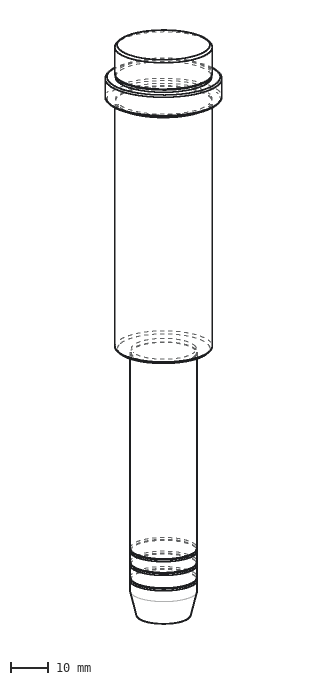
import cadquery as cq

total_length = 160.0
body_radius = 13.0
flange_radius = 15.5
shank_radius = 9.0
tip_radius = 7.2

body_bottom = 74.9
flange_bottom = 145.0
flange_top = 151.0
taper_height = 7.0

edge_chamfer = 0.6
flange_chamfer = 0.5
tip_fillet = 0.5

flange_relief_length = 1.0
flange_relief_depth = 0.2
flange_relief_run_out = 0.3
shank_relief_length = 1.1
shank_relief_depth = 0.3
groove_width = 0.8
groove_depth = 0.3
groove_centers = (10.4, 14.7, 18.5)


def cylinder(radius, bottom, top):
    return cq.Workplane("XY").workplane(offset=bottom).circle(radius).extrude(top - bottom)


def revolved(points):
    """Solid of revolution about Z from (radius, height) points."""
    return cq.Workplane("XZ").polyline(points).close().revolve(360, (0, 0), (0, 1))


def lubrication_groove(center):
    """V-shaped ring that cuts a groove into the shank."""
    half_width = groove_width / 2
    return revolved(
        [
            (shank_radius, center - half_width),
            (shank_radius - groove_depth, center),
            (shank_radius, center + half_width),
        ]
    )


def flange_relief(face_height, direction):
    """Ring cut into the body beside a flange face; direction is +1 above the flange, -1 below it."""
    floor_radius = body_radius - flange_relief_depth
    profile = [
        (body_radius, flange_relief_length),
        (floor_radius, flange_relief_length - flange_relief_run_out),
        (floor_radius, 0),
        (body_radius, 0),
    ]
    return revolved([(radius, face_height + direction * height) for radius, height in profile])


tip = (
    cq.Workplane("XY")
    .circle(tip_radius)
    .workplane(offset=taper_height)
    .circle(shank_radius)
    .loft(ruled=True)
    .faces("<Z")
    .edges()
    .fillet(tip_fillet)
)
shank = tip.union(cylinder(shank_radius, taper_height, body_bottom))

for center in groove_centers:
    shank = shank.cut(lubrication_groove(center))

relief_bottom = body_bottom - shank_relief_length
relief_ring = cylinder(shank_radius, relief_bottom, body_bottom).cut(
    cylinder(shank_radius - shank_relief_depth, relief_bottom, body_bottom)
)
shank = shank.cut(relief_ring)

body = cylinder(body_radius, body_bottom, total_length).faces("<Z or >Z").edges().chamfer(edge_chamfer)

flange = cylinder(flange_radius, flange_bottom, flange_top).faces("<Z or >Z").edges().chamfer(flange_chamfer)

result = shank.union(body).union(flange)

result = result.cut(flange_relief(flange_top, 1))
result = result.cut(flange_relief(flange_bottom, -1))